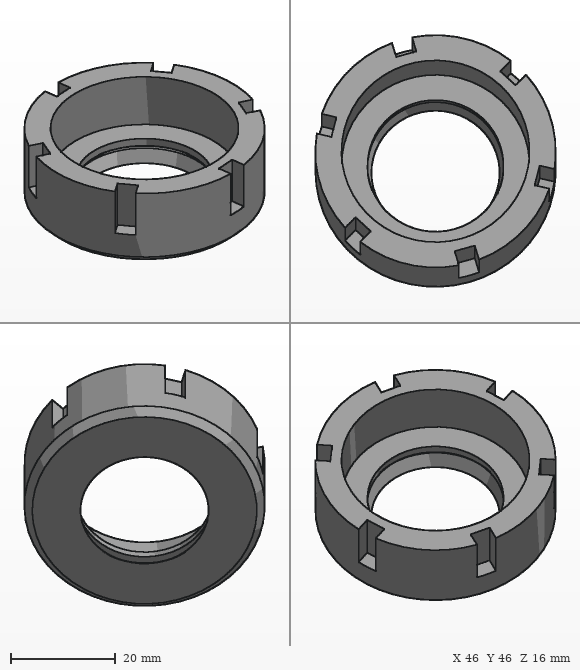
import cadquery as cq

outer_radius = 23.0
height = 16.0
bottom_chamfer = 1.5

bore_radius = 18.0
bore_floor = 5.15
collar_radius = 13.0
groove_radius = 14.5
groove_top = 3.55
groove_floor = 2.5
cone_top_radius = 13.75
cone_bottom_radius = 12.25

slot_count = 6
slot_width = 4.0
slot_depth = 3.0
slot_height = 9.48


def make_ring():
    """Revolve the half section, given as (radius, height) points, about Z."""
    section = [
        (cone_bottom_radius, 0),
        (outer_radius - bottom_chamfer, 0),
        (outer_radius, bottom_chamfer),
        (outer_radius, height),
        (bore_radius, height),
        (bore_radius, bore_floor),
        (collar_radius, bore_floor),
        (collar_radius, groove_top),
        (groove_radius, groove_top),
        (groove_radius, groove_floor),
        (cone_top_radius, groove_floor),
    ]
    axis_start = (0, 0)
    axis_end = (0, 1)
    return cq.Workplane("XZ").polyline(section).close().revolve(360, axis_start, axis_end)


def make_slot_cutters():
    """Boxes biting into the outer wall from the top face, the first on +X."""
    cutter_length = 2 * slot_depth
    return (
        cq.Workplane("XY")
        .workplane(offset=height - slot_height)
        .polarArray(outer_radius, 0, 360, slot_count)
        .rect(cutter_length, slot_width)
        .extrude(slot_height)
    )


result = make_ring().cut(make_slot_cutters())